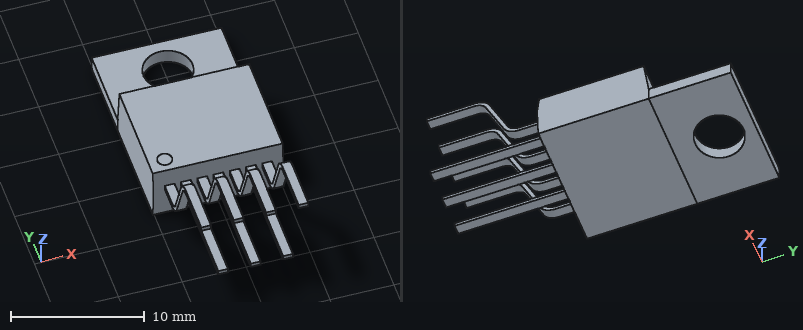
import cadquery as cq
import math


width = 10.17
overall_length = 24.87

lead_count = 7
lead_pitch = 1.27
lead_width = 0.77
lead_thickness = 0.37
lead_bottom = 2.69
lead_top = lead_bottom + lead_thickness
straight_lead_length = 9.38
bent_lead_shortfall = 0.2
bent_lead_length = straight_lead_length - bent_lead_shortfall
bent_lead_top = 8.13
bend_start = 1.75
bend_angle = math.radians(68)
bend_inner_radius = 1.0

housing_length = 8.93
housing_height = 4.58
front_top_setback = 0.15
front_bottom_setback = 0.1
rear_top_setback = 0.4

tab_thickness = 1.27
tab_length = overall_length - straight_lead_length - housing_length
tab_end = housing_length + tab_length
hole_diameter = 3.83
hole_to_tab_end = 2.85

mark_diameter = 1.15
mark_depth = 0.1
mark_x = -lead_pitch * (lead_count - 1) / 2
mark_y = 1.25


def make_mark():
    """Thin disc lying flush with the top of the housing."""
    return (
        cq.Workplane("XY", origin=(mark_x, mark_y, housing_height - mark_depth))
        .circle(mark_diameter / 2)
        .extrude(mark_depth)
    )


def make_housing():
    """Moulded block with drafted ends and a recess for the pin 1 mark."""
    side_outline = [
        (front_bottom_setback, 0),
        (0, lead_bottom),
        (0, lead_top),
        (front_top_setback, housing_height),
        (housing_length - rear_top_setback, housing_height),
        (housing_length, tab_thickness),
        (housing_length, 0),
    ]
    block = cq.Workplane("YZ").polyline(side_outline).close().extrude(width / 2, both=True)
    return block.cut(make_mark())


def make_tab():
    """Flat mounting tab with its screw hole, butted against the rear of the housing."""
    plate = cq.Workplane("XY").box(width, tab_length, tab_thickness, centered=(True, False, False))
    plate = plate.translate((0, housing_length, 0))
    hole = (
        cq.Workplane("XY", origin=(0, tab_end - hole_to_tab_end, 0))
        .circle(hole_diameter / 2)
        .extrude(tab_thickness)
    )
    return plate.cut(hole)


def make_straight_lead(x):
    """Flat bar running straight out of the housing."""
    return (
        cq.Workplane("XZ", origin=(x, 0, lead_bottom + lead_thickness / 2))
        .rect(lead_width, lead_thickness)
        .extrude(straight_lead_length)
    )


def make_bent_lead(x):
    """Flat bar swept along a centre line that steps up through two equal bends."""
    radius = bend_inner_radius + lead_thickness / 2
    low_z = lead_bottom + lead_thickness / 2
    high_z = bent_lead_top - lead_thickness / 2

    bend_run = radius * math.sin(bend_angle)
    bend_rise = radius * (1 - math.cos(bend_angle))
    slope_run = (high_z - low_z - 2 * bend_rise) / math.tan(bend_angle)

    slope_start = (-bend_start - bend_run, low_z + bend_rise)
    slope_end = (slope_start[0] - slope_run, high_z - bend_rise)
    bend_end = (slope_end[0] - bend_run, high_z)

    centre_line = (
        cq.Workplane("YZ", origin=(x, 0, 0))
        .moveTo(0, low_z)
        .lineTo(-bend_start, low_z)
        .tangentArcPoint(slope_start, relative=False)
        .lineTo(*slope_end)
        .tangentArcPoint(bend_end, relative=False)
        .lineTo(-bent_lead_length, high_z)
    )
    section = cq.Workplane("XZ", origin=(x, 0, low_z)).rect(lead_width, lead_thickness)
    return section.sweep(centre_line)


def make_leads():
    """Row of leads that alternates bent and straight, with a bent lead at each end."""
    leads = []
    for index in range(lead_count):
        x = (index - (lead_count - 1) / 2) * lead_pitch
        make_lead = make_bent_lead if index % 2 == 0 else make_straight_lead
        leads.append(make_lead(x).val())
    return leads


housing = make_housing()
tab = make_tab()
pin_mark = make_mark()
leads = make_leads()

result = cq.Compound.makeCompound([housing.val(), tab.val(), pin_mark.val(), *leads])